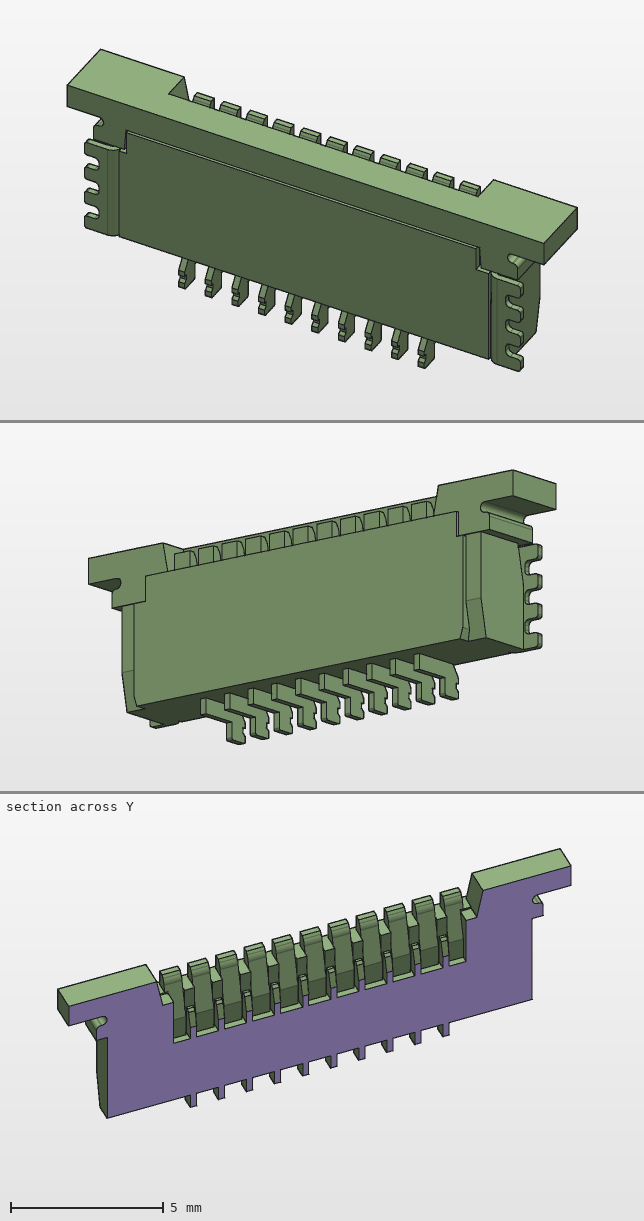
import cadquery as cq


HOUSING_HALF = 6.94
HOUSING_BACK = 1.33
HOUSING_FRONT = -1.16
SHOULDER_Z = 3.51
HOUSING_TOP = 4.36
NECK_LEFT = -6.67
NECK_RIGHT = 6.46
CORNER_LEAD_X = 0.12
CORNER_LEAD_Z = 0.37

BLOCK_HALF = 7.58
BLOCK_BACK = 1.17
BLOCK_BACK_FOOT = 0.90
BLOCK_FRONT_HEAD = -0.76
BACK_TAPER_Z = 1.30
FRONT_TAPER_Z = 2.20

SLIDER_BACK = 1.21
SLIDER_FRONT = -1.05
BAR_HALF = 8.955
BAR_BOTTOM = 4.53
BAR_TOP = 5.41
LUG_HALF = 7.97
LUG_BOTTOM = 3.55
LUG_ROUND = 0.17
NOTCH_HEIGHT = 0.36
NOTCH_HALF = 7.59
LEG_GAP_TOP = 0.08
LEG_GAP_BOTTOM = 0.14
LEG_GAP_DEPTH = 0.15

OPENING_HALF_TOP = 5.81
OPENING_HALF_BOTTOM = 5.60
OPENING_FRONT = 0.15
CABLE_SLOT_BACK = 0.62
CABLE_SLOT_FLOOR = 2.5
CABLE_SLOT_HALF = 5.21
END_POCKET_BACK = 0.77
END_POCKET_FLOOR = 4.3

PITCH = 1.0
CONTACTS = 10
TOOTH_WIDTH = 0.64
TOOTH_TOP = 4.95
TOOTH_BEVEL_Y = 1.00
TOOTH_BROW_Y = 0.93
TOOTH_BROW_Z = 4.85
TOOTH_NOSE_Y = 0.84
TOOTH_NOSE_Z = 4.62
TOOTH_NOSE_ROUND = 0.40
TOOTH_FOOT_Y = 0.51
TOOTH_FOOT_Z = 3.30

CONTACT_WIDTH = 0.23
CONTACT_ROOT_Z = 0.30
CONTACT_BEAM_TOP = 3.60
CONTACT_BEAM_Y = 0.53
CONTACT_BEVEL = 0.09
TAIL_FRONT = -1.33
TAIL_BOTTOM = -1.14
TAIL_BACK = 0.72
TAIL_SHELF_Z = -0.54
FOOT_BACK = -0.63
FOOT_ROUND = 0.07
GROOVE_FLOOR_Y = -1.22
GROOVE_HIGH_Z = -0.61
GROOVE_LOW_Z = -0.79
GROOVE_LIP_Z = -0.89
SHANK_LEAN_Z = -0.42

TAB_FRONT = -1.27
TAB_THICK = 0.22
TAB_HALF = 8.19
TAB_BEND_X = 7.32
TAB_NOTCH_X = 7.64
TAB_NOTCH_ROUND = 0.17
TAB_CORNER_ROUND = 0.11
TAB_STEP = 0.5
TAB_NOTCHES = 3


def box(x0, x1, y0, y1, z0, z1):
    """Axis-aligned block between two opposite corners."""
    return cq.Workplane("XY").box(x1 - x0, y1 - y0, z1 - z0, centered=False).translate((x0, y0, z0))


def front_profile(y_back):
    """Sketch plane with X right and Z up whose extrusions run towards -Y from y_back."""
    return cq.Workplane("XZ", origin=(0, y_back, 0))


def side_profile(x_start):
    """Sketch plane with Y right and Z up whose extrusions run towards +X from x_start."""
    return cq.Workplane("YZ", origin=(x_start, 0, 0))


def both_ends(left):
    """Left-hand feature together with its mirror image across X=0."""
    return left.union(left.mirror("YZ"))


def make_housing():
    """Shell with a narrower neck; its lower side corners are bevelled on the rear half only."""
    outline = [
        (-HOUSING_HALF + CORNER_LEAD_X, 0),
        (HOUSING_HALF - CORNER_LEAD_X, 0),
        (HOUSING_HALF, CORNER_LEAD_Z),
        (HOUSING_HALF, SHOULDER_Z),
        (NECK_RIGHT, SHOULDER_Z),
        (NECK_RIGHT, HOUSING_TOP),
        (NECK_LEFT, HOUSING_TOP),
        (NECK_LEFT, SHOULDER_Z),
        (-HOUSING_HALF, SHOULDER_Z),
        (-HOUSING_HALF, CORNER_LEAD_Z),
    ]
    shell = front_profile(HOUSING_BACK).polyline(outline).close().extrude(HOUSING_BACK - HOUSING_FRONT)
    square_front = box(-HOUSING_HALF, HOUSING_HALF, HOUSING_FRONT, 0, 0, SHOULDER_Z)
    return shell.union(square_front)


def make_end_blocks():
    profile = [
        (BLOCK_BACK, LUG_BOTTOM),
        (BLOCK_BACK, BACK_TAPER_Z),
        (BLOCK_BACK_FOOT, 0),
        (SLIDER_FRONT, 0),
        (SLIDER_FRONT, FRONT_TAPER_Z),
        (BLOCK_FRONT_HEAD, LUG_BOTTOM),
    ]
    return side_profile(-BLOCK_HALF).polyline(profile).close().extrude(2 * BLOCK_HALF)


def make_slider():
    depth = SLIDER_BACK - SLIDER_FRONT
    bar = box(-BAR_HALF, BAR_HALF, SLIDER_FRONT, SLIDER_BACK, BAR_BOTTOM, BAR_TOP)
    lug_top = BAR_BOTTOM - NOTCH_HEIGHT
    notch_radius = NOTCH_HEIGHT / 2
    notch_x = NOTCH_HALF - notch_radius + NOTCH_HEIGHT
    lugs = (
        front_profile(SLIDER_BACK)
        .moveTo(0, LUG_BOTTOM)
        .lineTo(-LUG_HALF, LUG_BOTTOM)
        .lineTo(-LUG_HALF, lug_top - LUG_ROUND)
        .radiusArc((-LUG_HALF + LUG_ROUND, lug_top), LUG_ROUND)
        .lineTo(-notch_x, lug_top)
        .threePointArc((-NOTCH_HALF, lug_top + notch_radius), (-notch_x, BAR_BOTTOM))
        .lineTo(0, BAR_BOTTOM)
        .close()
        .extrude(depth)
    )
    slider = bar.union(both_ends(lugs))
    opening = (
        front_profile(SLIDER_BACK)
        .polyline(
            [
                (-OPENING_HALF_TOP, BAR_TOP),
                (OPENING_HALF_TOP, BAR_TOP),
                (OPENING_HALF_BOTTOM, HOUSING_TOP),
                (-OPENING_HALF_BOTTOM, HOUSING_TOP),
            ]
        )
        .close()
        .extrude(SLIDER_BACK - OPENING_FRONT)
    )
    return slider.cut(opening)


def make_leg_gap(neck_x, outward):
    """Shallow drafted groove between the housing neck and one slider leg; outward is the X sign."""
    profile = [
        (neck_x, SHOULDER_Z),
        (neck_x, HOUSING_TOP),
        (neck_x + outward * LEG_GAP_TOP, HOUSING_TOP),
        (neck_x + outward * LEG_GAP_BOTTOM, SHOULDER_Z),
    ]
    return front_profile(SLIDER_FRONT + LEG_GAP_DEPTH).polyline(profile).close().extrude(LEG_GAP_DEPTH)


def make_cable_slot():
    slot = box(
        -CABLE_SLOT_HALF, CABLE_SLOT_HALF, OPENING_FRONT, CABLE_SLOT_BACK, CABLE_SLOT_FLOOR, HOUSING_TOP
    )
    pockets = box(
        -OPENING_HALF_BOTTOM,
        -CABLE_SLOT_HALF,
        OPENING_FRONT,
        END_POCKET_BACK,
        END_POCKET_FLOOR,
        HOUSING_TOP,
    )
    return slot.union(both_ends(pockets))


def along_teeth(shape):
    """Copies of a shape centred on X=0 at every tooth position."""
    copies = cq.Workplane()
    for i in range(CONTACTS + 1):
        copies = copies.add(shape.translate(((i - CONTACTS / 2) * PITCH, 0, 0)))
    return copies.combine()


def make_tooth_bays():
    """Recesses in the rear wall of the cable slot that leave the tooth noses exposed."""
    half = TOOTH_WIDTH / 2
    bay = box(-half, half, OPENING_FRONT, TOOTH_BEVEL_Y, CABLE_SLOT_FLOOR, HOUSING_TOP)
    slot_span = box(
        -CABLE_SLOT_HALF, CABLE_SLOT_HALF, OPENING_FRONT, TOOTH_BEVEL_Y, CABLE_SLOT_FLOOR, HOUSING_TOP
    )
    return along_teeth(bay).intersect(slot_span)


def make_teeth():
    tooth = (
        side_profile(-TOOTH_WIDTH / 2)
        .moveTo(SLIDER_BACK, CABLE_SLOT_FLOOR)
        .lineTo(SLIDER_BACK, TOOTH_TOP)
        .lineTo(TOOTH_BEVEL_Y, TOOTH_TOP)
        .lineTo(TOOTH_BROW_Y, TOOTH_BROW_Z)
        .radiusArc((TOOTH_NOSE_Y, TOOTH_NOSE_Z), -TOOTH_NOSE_ROUND)
        .lineTo(TOOTH_FOOT_Y, TOOTH_FOOT_Z)
        .lineTo(TOOTH_FOOT_Y, CABLE_SLOT_FLOOR)
        .close()
        .extrude(TOOTH_WIDTH)
    )
    return along_teeth(tooth)


def make_contacts():
    tail_shape = (
        side_profile(0)
        .moveTo(TAIL_BACK, CONTACT_ROOT_Z)
        .lineTo(TAIL_BACK, TAIL_SHELF_Z)
        .lineTo(FOOT_BACK, TAIL_SHELF_Z)
        .lineTo(FOOT_BACK, TAIL_BOTTOM + FOOT_ROUND)
        .radiusArc((FOOT_BACK - FOOT_ROUND, TAIL_BOTTOM), FOOT_ROUND)
        .lineTo(TAIL_FRONT + FOOT_ROUND, TAIL_BOTTOM)
        .radiusArc((TAIL_FRONT, TAIL_BOTTOM + FOOT_ROUND), FOOT_ROUND)
        .lineTo(TAIL_FRONT, GROOVE_LIP_Z)
        .lineTo(GROOVE_FLOOR_Y, GROOVE_LOW_Z)
        .lineTo(GROOVE_FLOOR_Y, GROOVE_HIGH_Z)
        .lineTo(TAIL_FRONT, GROOVE_HIGH_Z)
        .lineTo(TAIL_FRONT, SHANK_LEAN_Z)
        .lineTo(SLIDER_FRONT, 0)
        .lineTo(SLIDER_FRONT, CONTACT_ROOT_Z)
        .close()
        .extrude(CONTACT_WIDTH)
    )
    beam_profile = [
        (CABLE_SLOT_BACK, CABLE_SLOT_FLOOR),
        (CABLE_SLOT_BACK, CONTACT_BEAM_TOP),
        (CONTACT_BEAM_Y, CONTACT_BEAM_TOP),
        (CONTACT_BEAM_Y - CONTACT_BEVEL, CONTACT_BEAM_TOP - CONTACT_BEVEL),
        (OPENING_FRONT, CABLE_SLOT_FLOOR),
    ]
    beam_shape = side_profile(0).polyline(beam_profile).close().extrude(CONTACT_WIDTH)
    contacts = cq.Workplane()
    for i in range(CONTACTS):
        offset = ((i - (CONTACTS - 1) / 2) * PITCH - CONTACT_WIDTH / 2, 0, 0)
        contacts = contacts.add(tail_shape.translate(offset)).add(beam_shape.translate(offset))
    return contacts.combine()


def make_tabs():
    back = TAB_FRONT + TAB_THICK
    bend_radius = TAB_BEND_X - HOUSING_HALF
    bend_back = TAB_FRONT + bend_radius
    plate = (
        cq.Workplane("XY")
        .moveTo(-TAB_HALF, back)
        .lineTo(-TAB_HALF, TAB_FRONT)
        .lineTo(-TAB_BEND_X, TAB_FRONT)
        .radiusArc((-HOUSING_HALF, bend_back), -bend_radius)
        .lineTo(-HOUSING_HALF - TAB_THICK, bend_back)
        .radiusArc((-TAB_BEND_X, back), bend_radius - TAB_THICK)
        .close()
        .extrude(SHOULDER_Z)
    )
    for i in range(TAB_NOTCHES):
        z0 = TAB_STEP * (2 * i + 1)
        notch = box(-TAB_HALF - TAB_STEP, -TAB_NOTCH_X, TAB_FRONT, back, z0, z0 + TAB_STEP)
        plate = plate.cut(notch.edges("|Y and >X").fillet(TAB_NOTCH_ROUND))
    plate = plate.faces("<X").edges("|Y").fillet(TAB_CORNER_ROUND)
    return both_ends(plate)


result = (
    make_housing()
    .union(make_end_blocks())
    .union(make_slider())
    .cut(make_leg_gap(NECK_LEFT, -1))
    .cut(make_leg_gap(NECK_RIGHT, 1))
    .cut(make_cable_slot())
    .cut(make_tooth_bays())
    .union(make_teeth())
    .union(make_contacts())
    .union(make_tabs())
)